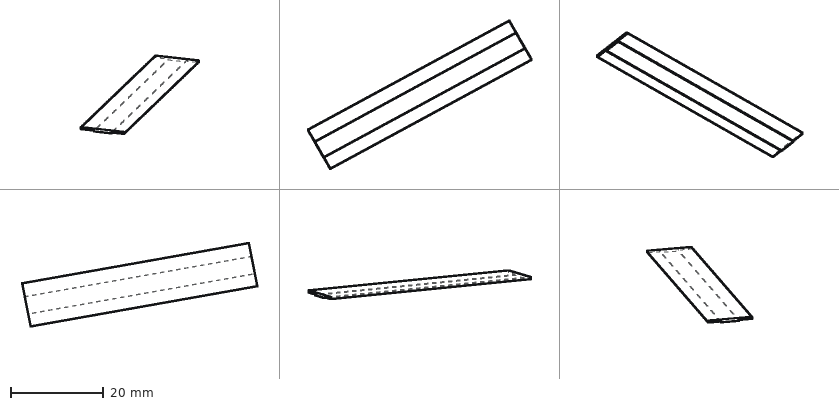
import cadquery as cq

length = 50.0
width = 10.0
total_height = 0.7
rib_height = 0.2
rib_width = 4.0
edge_radius = 0.2

plate_height = total_height - rib_height

plate = (
    cq.Workplane("XY")
    .box(width, length, plate_height, centered=(True, True, False))
    .edges("|Y")
    .fillet(edge_radius)
)

rib = cq.Workplane("XY").rect(rib_width, length).extrude(-rib_height)

result = plate.union(rib)